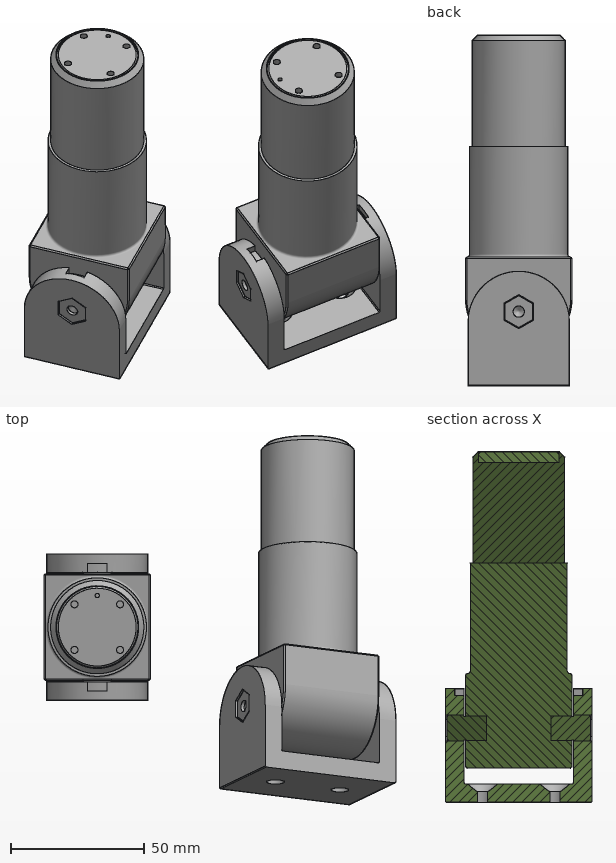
import cadquery as cq
import math

yoke_width = 38.0
yoke_span = 55.0
wall = 7.0
arm_height = 43.0
arch_radius = yoke_width / 2
arch_centre_z = arm_height - arch_radius
arm_inner_y = yoke_span / 2 - wall
yoke_chamfer = 0.4

notch_width = 7.2
notch_length = 3.4
notch_depth = 2.6

mount_offset = 13.5
mount_hole_diameter = 6.6
countersink_diameter = 12.4
countersink_angle = 90

pivot_z = 27.9
hex_across_flats = 11.0
hex_recess = 0.5
hex_chamfer = 0.33
journal_diameter = 10.5
journal_length = 7.9
pin_hole_diameter = 4.2
pin_hole_depth = 1.3
drill_tip_angle = 118

hub_size = 40.0
hub_top_z = 48.4
hub_round_z = 32.6
hub_chamfer = 0.5
tube_diameter = 37.0
tube_top_z = 89.8
foot_fillet = 0.9

total_height = 131.5
sleeve_diameter = 35.0
sleeve_chamfer = 2.0
cap_diameter = 30.5
cap_thickness = 4.0
cap_chamfer = 0.7
cap_hole_offset = 8.5
cap_hole_diameter = 2.6
cap_hole_depth = 2.6
vent_offset = 11.8
vent_diameter = 1.6
vent_depth = 1.3


def arch_profile(width, bottom_z, arch_z):
    """Closed XZ outline: straight sides from bottom_z to arch_z, closed by a half circle beyond arch_z."""
    radius = width / 2
    bulge = math.copysign(radius, arch_z - bottom_z)
    return (
        cq.Workplane("XZ")
        .moveTo(-radius, bottom_z)
        .lineTo(-radius, arch_z)
        .threePointArc((0, arch_z + bulge), (radius, arch_z))
        .lineTo(radius, bottom_z)
        .close()
    )


def cylinder(diameter, bottom_z, top_z):
    return cq.Workplane("XY", origin=(0, 0, bottom_z)).circle(diameter / 2).extrude(top_z - bottom_z)


def hex_along_y(outer_y, inner_y):
    """Hexagonal prism on the pivot axis, with corners at its top and bottom."""
    across_corners = hex_across_flats / math.cos(math.radians(30))
    return (
        cq.Workplane("XZ", origin=(0, outer_y, pivot_z))
        .transformed(rotate=(0, 0, 90))
        .polygon(6, across_corners)
        .extrude(outer_y - inner_y)
    )


def journal(outer_y):
    """Round pin section from outer_y to the bottom of its bore in the +Y side of the hub."""
    inner_y = hub_size / 2 - journal_length
    return (
        cq.Workplane("XZ", origin=(0, outer_y, pivot_z))
        .circle(journal_diameter / 2)
        .extrude(outer_y - inner_y)
    )


def u_bracket():
    bracket = arch_profile(yoke_width, 0, arch_centre_z).extrude(yoke_span / 2, both=True)
    bracket = bracket.faces("<Z").edges("|X").chamfer(yoke_chamfer)
    opening = (
        cq.Workplane("XY", origin=(0, 0, wall))
        .rect(yoke_width, 2 * arm_inner_y)
        .extrude(arm_height)
        .faces("<Z")
        .edges("|X")
        .chamfer(yoke_chamfer)
    )
    return bracket.cut(opening)


def crown_notch():
    """Cutter for the notch of the +Y arm; its floor is concentric with the arch."""
    ring = (
        cq.Workplane("XZ", origin=(0, arm_inner_y + notch_length, arch_centre_z))
        .circle(arch_radius)
        .circle(arch_radius - notch_depth)
        .extrude(notch_length)
    )
    slot = cq.Workplane("XY", origin=(0, 0, arch_centre_z)).rect(notch_width, yoke_span).extrude(arm_height)
    return ring.intersect(slot)


def make_yoke():
    notch = crown_notch()
    return (
        u_bracket()
        .cut(notch)
        .cut(notch.mirror("XZ"))
        .cut(hex_along_y(yoke_span / 2, -yoke_span / 2))
        .copyWorkplane(cq.Workplane("XY", origin=(0, 0, wall)))
        .pushPoints([(0, mount_offset), (0, -mount_offset)])
        .cskHole(mount_hole_diameter, countersink_diameter, countersink_angle, depth=wall)
    )


def make_hub():
    block = (
        arch_profile(hub_size, hub_top_z, hub_round_z)
        .extrude(hub_size / 2, both=True)
        .faces("<Y or >Y or >Z")
        .edges()
        .chamfer(hub_chamfer)
    )
    tube_radius = tube_diameter / 2
    tube = (
        cq.Workplane("XZ")
        .moveTo(0, hub_top_z)
        .lineTo(tube_radius + foot_fillet, hub_top_z)
        .radiusArc((tube_radius, hub_top_z + foot_fillet), foot_fillet)
        .lineTo(tube_radius, tube_top_z)
        .lineTo(0, tube_top_z)
        .close()
        .revolve(360, (0, 0, 0), (0, 1, 0))
    )
    bore = journal(hub_size / 2)
    return block.union(tube).cut(bore).cut(bore.mirror("XZ"))


def make_sleeve():
    body = cylinder(sleeve_diameter, tube_top_z, total_height).faces(">Z").edges().chamfer(sleeve_chamfer)
    cap_seat = cylinder(cap_diameter, total_height - cap_thickness, total_height)
    return body.cut(cap_seat)


def make_cap():
    disc = cylinder(cap_diameter, total_height - cap_thickness, total_height)
    top_plane = cq.Workplane("XY", origin=(0, 0, total_height))
    return (
        disc.faces(">Z")
        .edges()
        .chamfer(cap_chamfer)
        .copyWorkplane(top_plane)
        .rect(2 * cap_hole_offset, 2 * cap_hole_offset, forConstruction=True)
        .vertices()
        .hole(cap_hole_diameter, cap_hole_depth)
        .copyWorkplane(top_plane)
        .center(0, vent_offset)
        .hole(vent_diameter, vent_depth)
    )


def make_pin():
    """Pin of the +Y arm, with a drilled hole in its head."""
    head_y = yoke_span / 2 - hex_recess
    head = hex_along_y(head_y, arm_inner_y).faces(">Y").edges().chamfer(hex_chamfer)
    hole_radius = pin_hole_diameter / 2
    hole_end_y = head_y - pin_hole_depth
    tip_length = hole_radius / math.tan(math.radians(drill_tip_angle / 2))
    drilling = (
        cq.Workplane("XY", origin=(0, 0, pivot_z))
        .moveTo(0, head_y)
        .lineTo(hole_radius, head_y)
        .lineTo(hole_radius, hole_end_y)
        .lineTo(0, hole_end_y - tip_length)
        .close()
        .revolve(360, (0, 0, 0), (0, 1, 0))
    )
    return head.union(journal(arm_inner_y)).cut(drilling)


yoke = make_yoke()
hub = make_hub()
sleeve = make_sleeve()
cap = make_cap()

pins = [make_pin().rotate((0, 0, 0), (0, 0, 1), turn) for turn in (0, 180)]

bodies = [yoke, hub, sleeve, cap, *pins]
result = cq.Compound.makeCompound([body.solids().val() for body in bodies])